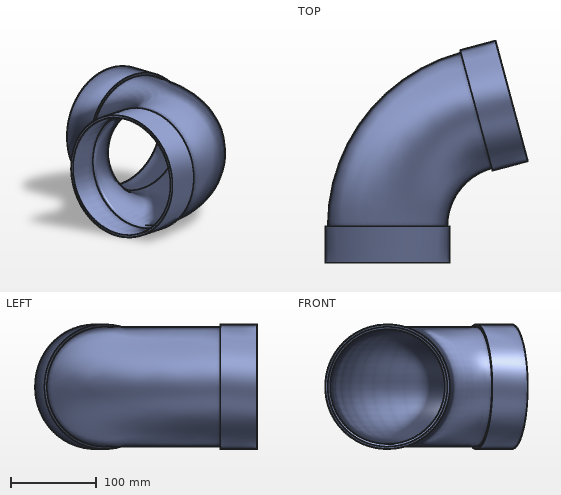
import cadquery as cq
import math

bend_angle = 75.0
bend_radius = 140.0
pipe_outer_diameter = 140.0
pipe_bore_diameter = 134.0
socket_outer_diameter = 146.0
socket_bore_diameter = 140.0
socket_length = 43.0
socket_depth = 39.8
shoulder_round = 2.9

bend_radians = math.radians(bend_angle)
bend_end = (bend_radius * (1 - math.cos(bend_radians)), bend_radius * math.sin(bend_radians), 0)
end_direction = (math.sin(bend_radians), math.cos(bend_radians), 0)
start_plane = cq.Plane(origin=(0, 0, 0), xDir=(1, 0, 0), normal=(0, -1, 0))
end_plane = cq.Plane(origin=bend_end, xDir=(0, 0, 1), normal=end_direction)
mouth_planes = (start_plane, end_plane)


def bent_rod(diameter):
    """Solid round rod following the bend about an axis parallel to Z."""
    return (
        cq.Workplane("XZ")
        .circle(diameter / 2)
        .revolve(bend_angle, (bend_radius, 2.5, 0), (bend_radius, 0, 0))
    )


def socket_cylinder(plane, diameter, offset, length):
    """Cylinder running outward from a bend end, starting at the given offset."""
    return cq.Workplane(plane).workplane(offset=offset).circle(diameter / 2).extrude(length)


def shoulder_ring(plane):
    """Pipe stop at the bottom of a socket, with its inner lip rounded."""
    return (
        cq.Workplane(plane)
        .circle(socket_outer_diameter / 2)
        .circle(pipe_bore_diameter / 2)
        .extrude(socket_length - socket_depth)
        .faces(cq.selectors.DirectionMinMaxSelector(plane.zDir))
        .edges(cq.selectors.RadiusNthSelector(0))
        .fillet(shoulder_round)
    )


def socket_wall(plane):
    """Thin tube that receives the pipe, from the shoulder out to the mouth."""
    shoulder = socket_length - socket_depth
    tube = socket_cylinder(plane, socket_outer_diameter, shoulder, socket_depth)
    return tube.cut(socket_cylinder(plane, socket_bore_diameter, shoulder, socket_depth))


result = bent_rod(pipe_outer_diameter).cut(bent_rod(pipe_bore_diameter))
for plane in mouth_planes:
    result = result.union(shoulder_ring(plane)).union(socket_wall(plane))